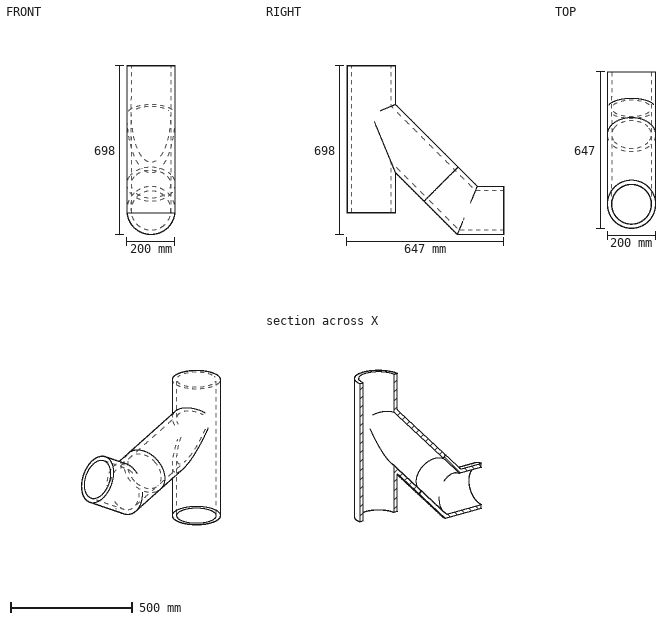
import cadquery as cq
import math

outer_diameter = 200.0
bore_diameter = 163.5

run_length = 609.0
branch_height = 407.0
branch_angle = 45.0

overall_height = 698.0
overall_depth = 647.0
elbow_leg_length = 153.5

elbow_height = run_length - overall_height + outer_diameter / 2
elbow_end_y = overall_depth - outer_diameter / 2
branch_slope = math.radians(branch_angle)
branch_direction = cq.Vector(0, math.cos(branch_slope), -math.sin(branch_slope))

branch_start = cq.Vector(0, 0, branch_height)
axis_length = (branch_height - elbow_height) / math.sin(branch_slope)
miter_center = branch_start + branch_direction * axis_length
joint_center = miter_center - branch_direction * elbow_leg_length
elbow_end = cq.Vector(0, elbow_end_y, elbow_height)


def tee_rods(diameter):
    """Solid run and branch of one diameter, joined where their axes meet."""
    run = cq.Workplane("XY").circle(diameter / 2).extrude(run_length)
    branch_plane = cq.Plane(branch_start, xDir=(1, 0, 0), normal=branch_direction)
    branch_length = axis_length - elbow_leg_length
    branch = cq.Workplane(branch_plane).circle(diameter / 2).extrude(branch_length)
    return run.union(branch)


def elbow_rod(diameter):
    """Solid two-leg bend of one diameter with a sharp mitred corner."""
    path = cq.Workplane(cq.Wire.makePolygon([joint_center, miter_center, elbow_end]))
    joint_plane = cq.Plane(joint_center, xDir=(1, 0, 0), normal=branch_direction)
    return cq.Workplane(joint_plane).circle(diameter / 2).sweep(path, transition="right")


tee = tee_rods(outer_diameter).cut(tee_rods(bore_diameter))
elbow = elbow_rod(outer_diameter).cut(elbow_rod(bore_diameter))

result = cq.Compound.makeCompound([tee.val(), elbow.val()])